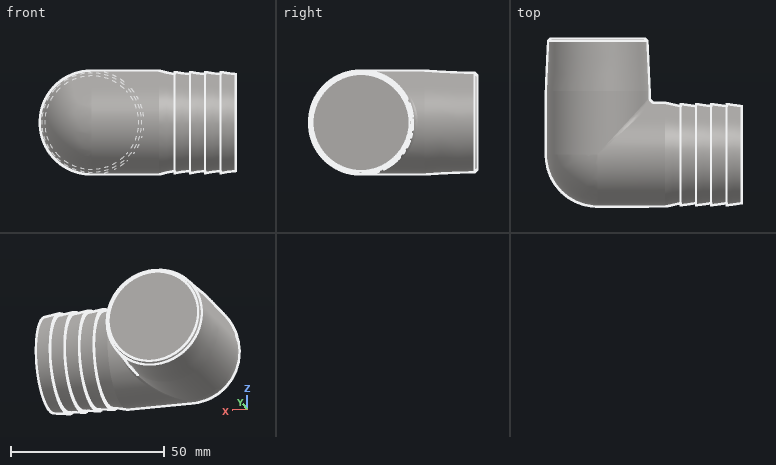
import cadquery as cq

body_diameter = 34.0
body_radius = body_diameter / 2
overall_x = 64.0
overall_y = 55.0
inner_fillet = 1.6
edge_clearance = 0.65

barb_count = 4
barb_pitch = 5.0
barb_crest_radius = 16.6
barb_root_radius = 15.9
hose_end = overall_x - body_radius
neck_length = barb_pitch
hose_body_length = hose_end - barb_count * barb_pitch - neck_length

spigot_end = overall_y - body_radius
spigot_length = 17.2
spigot_tip_radius = 16.25
spigot_chamfer = 0.95
spigot_start = spigot_end - spigot_length


def elbow_body():
    """Ball corner with two plain legs and a rounded inner corner."""
    hose_leg = cq.Workplane("YZ").circle(body_radius).extrude(hose_body_length)
    spigot_leg = cq.Workplane("XZ").circle(body_radius).extrude(-spigot_start)
    legs = hose_leg.union(spigot_leg)
    box_low = (edge_clearance, edge_clearance, -body_radius)
    box_high = (body_radius, body_radius, body_radius)
    inside_bend = cq.selectors.BoxSelector(box_low, box_high)
    legs = legs.edges(inside_bend).fillet(inner_fillet)
    return legs.union(cq.Workplane("XY").sphere(body_radius))


def barbed_end():
    """Necked hose tail with sawtooth barbs, revolved about X."""
    x = hose_body_length + neck_length
    profile = [
        (hose_body_length, 0),
        (hose_body_length, body_radius),
        (x, barb_root_radius),
    ]
    for _ in range(barb_count):
        profile.append((x, barb_crest_radius))
        x += barb_pitch
        profile.append((x, barb_root_radius))
    profile.append((x, 0))
    return cq.Workplane("XY").polyline(profile).close().revolve(360, (0, 0, 0), (1, 0, 0))


def tapered_spigot():
    """Tapered plug with a chamfered tip, revolved about Y."""
    profile = [
        (0, spigot_start),
        (body_radius, spigot_start),
        (spigot_tip_radius, spigot_end - spigot_chamfer),
        (spigot_tip_radius - spigot_chamfer, spigot_end),
        (0, spigot_end),
    ]
    return cq.Workplane("XY").polyline(profile).close().revolve(360, (0, 0, 0), (0, 1, 0))


result = elbow_body().union(barbed_end()).union(tapered_spigot())